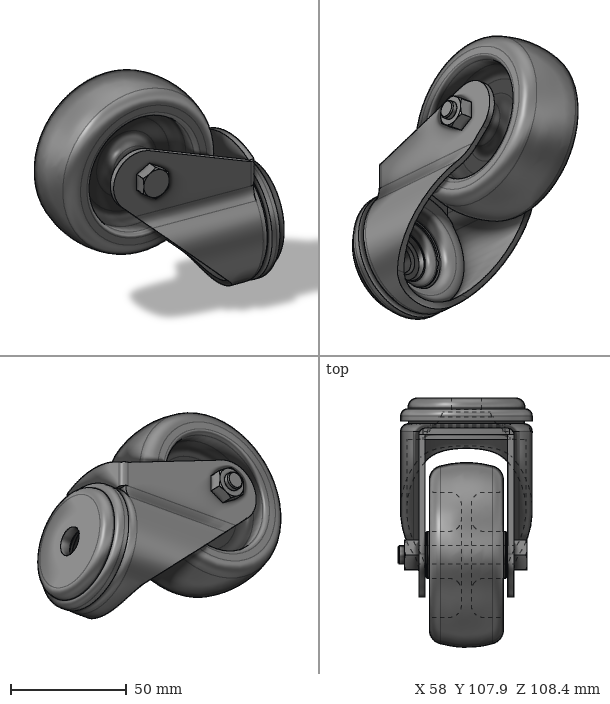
import cadquery as cq
import math


wheel_radius = 40.0
wheel_half_width = 16.0
swivel_radius = 28.5
swivel_z = -39.9
head_top_y = 67.9
sheet = 2.7
axle_radius = 4.0

plate_outer_x = 20.6
plate_inner_x = plate_outer_x - sheet
flare_radius = 10.8
flange_outer_y = 54.8
flange_thickness = 2.8
flange_inner_y = flange_outer_y - flange_thickness
flare_height = math.sqrt((swivel_radius + flare_radius) ** 2 - (plate_outer_x + flare_radius) ** 2)
flare_top_z = swivel_z + flare_height
flange_top_radius = -swivel_z
nose_radius = 14.1
nose_y = -4.2
top_edge_slope = math.radians(19.2)
cut_slope = math.radians(41.7)
cut_bend_z = -59.6
cut_bend_radius = 19.5
cut_bend_angle = math.radians(31)
overrun = 10.8

boss_y = 49.9
boss_radius = 26.5
disc_outer_y = 56.8
disc_fillet = 3.5
neck_radius = 25.1
collar_bottom_y = 57.8
collar_top_y = 63.2
collar_fillet = 3.0
cap_radius = 25.3
cap_fillet = 4.2

bowl_radius = 16.7
bowl_round = 4.5
ledge_radius = 15.6
ledge_y = 55.2
throat_mouth_y = 56.1
throat_mouth_radius = 15.0
throat_radius = 11.8
throat_ledge_y = 59.6
seat_mouth_radius = 11.2
seat_radius = 10.2
seat_y = 61.7
bolt_hole_radius = 6.5
bolt_hole_chamfer = 1.2

crown_half_width = 11.3
crown_edge_radius = 38.5
shoulder_radius = 6.3
side_face_radius = 32.4
rim_inner_radius = 27.1
rim_lip = 2.1
web_half_width = 2.2
web_fillet = 5.2
hub_radius = 10.2
hub_half_length = 17.4
hub_chamfer = 0.5

hex_flats = 13.0
nut_end_x = -26.9
head_end_x = 26.3
tip_x = -29.5
tip_chamfer = 0.5
hex_chamfer_depth = 0.5


def along_x(radius, x_start, x_end):
    """Cylinder about the wheel axle."""
    return cq.Workplane("YZ").workplane(offset=x_start).circle(radius).extrude(x_end - x_start)


def swivel_prism(radius, y_start, y_end):
    """Cylinder about the swivel axis."""
    plane = cq.Workplane("XZ", origin=(0, y_end, swivel_z))
    return plane.circle(radius).extrude(y_end - y_start)


def fork_outline(circle_radius, concave_radius, half_width, y_start, y_end):
    """Prism with a round bottom whose sides flare back to the width between the plates."""
    centre_distance = circle_radius + concave_radius
    flare_x = half_width + concave_radius
    touch_x = flare_x * circle_radius / centre_distance
    touch_z = flare_height * circle_radius / centre_distance
    half_turn = math.atan2(flare_height, flare_x) / 2
    mid_x = flare_x - concave_radius * math.cos(half_turn)
    mid_z = flare_height - concave_radius * math.sin(half_turn)
    return (
        cq.Workplane("XZ", origin=(0, y_end, swivel_z))
        .moveTo(half_width, flare_height)
        .threePointArc((mid_x, mid_z), (touch_x, touch_z))
        .threePointArc((0, -circle_radius), (-touch_x, touch_z))
        .threePointArc((-mid_x, mid_z), (-half_width, flare_height))
        .close()
        .extrude(y_end - y_start)
    )


def fork_side_shape():
    """Side silhouette of the fork walls, as a prism along X."""
    top_tangent = (
        nose_y + nose_radius * math.sin(top_edge_slope),
        nose_radius * math.cos(top_edge_slope),
    )
    cut_normal = (-math.sin(cut_slope), -math.cos(cut_slope))
    cut_tangent = (nose_y + nose_radius * cut_normal[0], nose_radius * cut_normal[1])
    top_back_z = top_tangent[1] - (flange_inner_y - top_tangent[0]) * math.tan(top_edge_slope)
    bend_y = cut_tangent[0] + (cut_tangent[1] - cut_bend_z) / math.tan(cut_slope)
    bend_centre = (
        bend_y + cut_bend_radius * cut_normal[0],
        cut_bend_z + cut_bend_radius * cut_normal[1],
    )

    def bend_point(turn):
        angle = math.pi / 2 - cut_slope - turn
        return (
            bend_centre[0] + cut_bend_radius * math.cos(angle),
            bend_centre[1] + cut_bend_radius * math.sin(angle),
        )

    bend_end = bend_point(cut_bend_angle)
    return (
        cq.Workplane("YZ")
        .moveTo(flange_outer_y, top_back_z)
        .lineTo(flange_inner_y, top_back_z)
        .lineTo(*top_tangent)
        .threePointArc((nose_y - nose_radius, 0), cut_tangent)
        .lineTo(bend_y, cut_bend_z)
        .threePointArc(bend_point(cut_bend_angle / 2), bend_end)
        .lineTo(bend_end[0], swivel_z - swivel_radius - overrun)
        .lineTo(flange_outer_y, swivel_z - swivel_radius - overrun)
        .close()
        .extrude(swivel_radius + overrun, both=True)
    )


def build_fork_sheet():
    """Bent sheet: a flared skirt around the disc, and a channel of two side plates and a flange."""
    front_y = nose_y - nose_radius - overrun
    skirt_y = disc_outer_y - disc_fillet
    skirt = fork_outline(swivel_radius, flare_radius, plate_outer_x, front_y, skirt_y)
    skirt = skirt.cut(
        fork_outline(swivel_radius - sheet, flare_radius + sheet, plate_inner_x, front_y, flange_inner_y)
    )

    height = nose_radius + overrun - flare_top_z
    channel = (
        cq.Workplane("XY", origin=(0, 0, flare_top_z))
        .moveTo(0, (front_y + flange_outer_y) / 2)
        .rect(2 * plate_outer_x, flange_outer_y - front_y)
        .extrude(height)
        .edges("|Z and >Y").fillet(flange_thickness)
    )
    gap = (
        cq.Workplane("XY", origin=(0, 0, flare_top_z))
        .moveTo(0, (front_y + flange_inner_y) / 2)
        .rect(2 * plate_inner_x, flange_inner_y - front_y)
        .extrude(height)
    )
    flange = channel.intersect(swivel_prism(flange_top_radius, flange_inner_y, flange_outer_y))
    walls = skirt.union(channel.cut(gap)).intersect(fork_side_shape())
    return walls.union(flange)


def build_swivel_head():
    """Turned head: fork disc, neck, collar and domed cap."""
    disc = swivel_prism(swivel_radius, flange_inner_y, disc_outer_y)
    disc = disc.faces(">Y").edges().fillet(disc_fillet)
    boss = swivel_prism(boss_radius, boss_y, flange_inner_y)
    neck = swivel_prism(neck_radius, flange_inner_y, collar_top_y)
    collar = swivel_prism(swivel_radius, collar_bottom_y, collar_top_y)
    collar = collar.faces(">Y").edges().fillet(collar_fillet)
    cap = swivel_prism(cap_radius, collar_bottom_y, head_top_y).faces(">Y").edges().fillet(cap_fillet)
    return disc.union(boss).union(neck).union(collar).union(cap)


def build_head_opening():
    """Stepped opening with a rounded mouth, from the inside of the fork to the bolt hole."""
    mouth_radius = bowl_radius + bowl_round
    throat_round = throat_mouth_radius - throat_radius
    slant = math.sqrt(0.5)
    return (
        cq.Workplane("XY")
        .moveTo(0, boss_y)
        .lineTo(mouth_radius, boss_y)
        .threePointArc(
            (mouth_radius - bowl_round * slant, boss_y + bowl_round * (1 - slant)),
            (bowl_radius, boss_y + bowl_round),
        )
        .lineTo(bowl_radius, ledge_y)
        .lineTo(ledge_radius, ledge_y)
        .lineTo(ledge_radius, throat_mouth_y)
        .lineTo(throat_mouth_radius, throat_mouth_y)
        .threePointArc(
            (throat_mouth_radius - throat_round * slant, throat_mouth_y + throat_round * (1 - slant)),
            (throat_radius, throat_mouth_y + throat_round),
        )
        .lineTo(throat_radius, throat_ledge_y)
        .lineTo(seat_mouth_radius, throat_ledge_y)
        .lineTo(seat_radius, seat_y)
        .lineTo(bolt_hole_radius + bolt_hole_chamfer, seat_y)
        .lineTo(bolt_hole_radius, seat_y + bolt_hole_chamfer)
        .lineTo(bolt_hole_radius, head_top_y)
        .lineTo(0, head_top_y)
        .close()
        .revolve(360, (0, 0, 0), (0, 1, 0))
        .translate((0, 0, swivel_z))
    )


def build_fork():
    fork = build_fork_sheet().union(build_swivel_head()).cut(build_head_opening())
    return fork.cut(along_x(axle_radius, -plate_outer_x, plate_outer_x))


def build_wheel():
    """Crowned tyre, recessed web and hub, turned about the axle."""
    crown = math.asin((crown_half_width - wheel_half_width + shoulder_radius) / shoulder_radius)
    shoulder_turn = (math.pi / 2 - crown) / 2
    shoulder_mid = (
        wheel_half_width - shoulder_radius * (1 - math.cos(shoulder_turn)),
        side_face_radius + shoulder_radius * math.sin(shoulder_turn),
    )
    tyre = (
        cq.Workplane("XY")
        .moveTo(wheel_half_width, 0)
        .lineTo(wheel_half_width, side_face_radius)
        .threePointArc(shoulder_mid, (crown_half_width, crown_edge_radius))
        .threePointArc((0, wheel_radius), (-crown_half_width, crown_edge_radius))
        .threePointArc((-shoulder_mid[0], shoulder_mid[1]), (-wheel_half_width, side_face_radius))
        .lineTo(-wheel_half_width, 0)
        .close()
        .revolve(360, (0, 0, 0), (1, 0, 0))
    )
    well = along_x(rim_inner_radius, web_half_width + web_fillet, wheel_half_width)
    wheel = tyre.cut(well).cut(well.mirror("YZ"))
    for side in (">X", "<X"):
        wheel = wheel.faces(side).edges(cq.selectors.RadiusNthSelector(0)).fillet(rim_lip)
    groove = (
        along_x(rim_inner_radius, web_half_width, wheel_half_width)
        .cut(along_x(hub_radius, web_half_width, wheel_half_width))
        .faces("<X").edges().fillet(web_fillet)
    )
    hub = along_x(hub_radius, -hub_half_length, hub_half_length).faces("<X or >X").chamfer(hub_chamfer)
    wheel = wheel.cut(groove).cut(groove.mirror("YZ")).union(hub)
    return wheel.cut(along_x(axle_radius, -hub_half_length, hub_half_length))


def hexagon(inner_x, outer_x):
    """Hexagonal prism against a fork plate, with the corners of its outer end turned down."""
    corner_radius = hex_flats / math.sqrt(3)
    prism = (
        cq.Workplane("YZ")
        .workplane(offset=inner_x)
        .polygon(6, 2 * corner_radius)
        .extrude(outer_x - inner_x)
        .rotate((0, 0, 0), (1, 0, 0), 30)
    )
    cone = along_x(corner_radius, inner_x, outer_x)
    outer_face = ">X" if outer_x > inner_x else "<X"
    cone = cone.faces(outer_face).chamfer(hex_chamfer_depth, corner_radius - hex_flats / 2)
    return prism.intersect(cone)


def build_axle():
    shank = along_x(axle_radius, tip_x, head_end_x).faces("<X").chamfer(tip_chamfer)
    nut = hexagon(-plate_outer_x, nut_end_x)
    head = hexagon(plate_outer_x, head_end_x)
    return shank.union(nut).union(head)


fork = build_fork()
wheel = build_wheel()
axle = build_axle()

result = cq.Compound.makeCompound([fork.val(), wheel.val(), axle.val()])